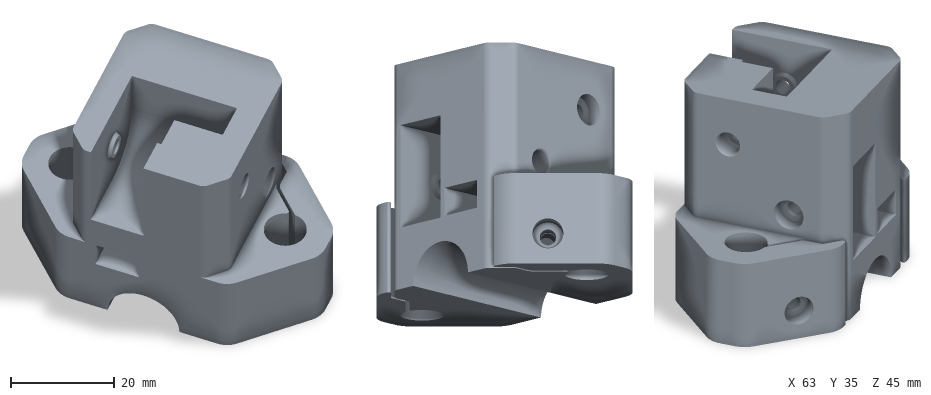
import cadquery as cq
import math

width = 63.0
depth = 35.0
height = 45.0
base_height = 18.0
front_y = -depth / 2
back_y = depth / 2

base_chamfer = 14.0
base_round = 5.0

block_width = 33.0
block_side = block_width / 2
block_chamfer = 4.0
block_round = 2.0

rod_x = 22.5
rod_diameter = 8.3
gap_width = 0.7
gap_bend_y = 9.5
gap_bend_round = 2.0
arm_tip_round = 0.5

clamp_screw_y = 11.6
clamp_screw_z = 6.0
clamp_screw_diameter = 3.15
clamp_bore_diameter = 6.0
clamp_bore_depth = 3.15
clamp_screw_depth = 16.0

screw_diameter = 3.1
head_diameter = 6.2
head_depth = 2.85
insert_mouth_diameter = 5.15
insert_diameter = 4.7
insert_lead_in = 0.3
insert_depth = 5.0

upper_radius = 10.0
lower_radius = 10.2
cavity_side = 10.95
upper_y = -6.4
upper_z = 35.15
lower_y = 6.4
lower_z = 22.5
boss_root_diameter = 5.5
boss_tip_diameter = 4.6
boss_height = 0.8
recess_depth = 0.9
recess_reach = 4.05

groove_radius = 7.5
window_width = 8.95
window_height = 5.55
window_x = -5.55


def box(x_min, x_max, y_min, y_max, z_min, z_max):
    """Box given by its limits along each axis."""
    size = (x_max - x_min, y_max - y_min, z_max - z_min)
    return cq.Workplane("XY").box(*size, centered=False).translate((x_min, y_min, z_min))


def chamfered_prism(prism_width, prism_height, chamfer, corner_round):
    """Upright prism of the full depth with rounded chamfers on its vertical edges."""
    prism = cq.Workplane("XY").rect(prism_width, depth).extrude(prism_height)
    return prism.edges("|Z").chamfer(chamfer).edges("|Z").fillet(corner_round)


def x_cylinder(x_min, x_max, y, z, diameter):
    """Cylinder along X."""
    plane = cq.Plane(origin=(x_min, y, z), xDir=(0, 1, 0), normal=(1, 0, 0))
    return cq.Workplane(plane).circle(diameter / 2).extrude(x_max - x_min)


def x_cone(x_start, y, z, start_diameter, length, end_diameter):
    """Truncated cone along X; a negative length points it toward -X."""
    direction = cq.Vector(math.copysign(1, length), 0, 0)
    cone = cq.Solid.makeCone(
        start_diameter / 2, end_diameter / 2, abs(length), cq.Vector(x_start, y, z), direction
    )
    return cq.Workplane(cone)


def vertical_edge_near(body, x, y):
    """Vertical edge of the base closest to a place in plan."""
    return body.edges("|Z").edges(cq.selectors.NearestToPointSelector((x, y, base_height / 2)))


def clamp_gap():
    """Gap on the +X side from the back face around the block into the rod hole.

    Also returns the plan positions of the two sharp edges it leaves: the arm tip and the hole lip.
    """
    diagonal_shift = gap_width * math.sqrt(2)
    beyond = 1.25
    hole_end_y = 3.15
    outer_x = block_side + gap_width
    corner_y = back_y - block_chamfer
    corner_x = block_side - block_chamfer
    inner_sum = block_side + gap_bend_y
    outer_sum = inner_sum + diagonal_shift
    tip_sum = block_side + corner_y + diagonal_shift
    outline = [
        (corner_x - block_chamfer, back_y),
        (corner_x, back_y),
        (block_side, corner_y),
        (block_side, gap_bend_y),
        (inner_sum - hole_end_y, hole_end_y),
        (outer_sum - hole_end_y, hole_end_y),
        (outer_x, outer_sum - outer_x),
        (outer_x, tip_sum - outer_x),
        (tip_sum - back_y, back_y),
        (tip_sum - back_y, back_y + beyond),
        (corner_x - block_chamfer, back_y + beyond),
    ]
    gap = cq.Workplane("XY").polyline(outline).close().extrude(base_height)
    gap = vertical_edge_near(gap, corner_x, back_y).fillet(block_round)
    gap = vertical_edge_near(gap, block_side, corner_y).fillet(block_round)
    gap = vertical_edge_near(gap, block_side, gap_bend_y).fillet(gap_bend_round + gap_width)
    gap = vertical_edge_near(gap, outer_x, outer_sum - outer_x).fillet(gap_bend_round)
    tip = (tip_sum - back_y, back_y)
    offset = (inner_sum - rod_x) / math.sqrt(2)
    run = math.sqrt((rod_diameter / 2) ** 2 - offset ** 2)
    lip = (rod_x + (offset - run) / math.sqrt(2), (offset + run) / math.sqrt(2))
    return gap, tip, lip


def clamp_screw():
    """Counterbored blind hole entering the rear diagonal face on the +X side."""
    face_x = width / 2 + back_y - base_chamfer - clamp_screw_y
    plane = cq.Plane(origin=(face_x, clamp_screw_y, clamp_screw_z), xDir=(0, 0, 1), normal=(-1, -1, 0))
    shank = cq.Workplane(plane).circle(clamp_screw_diameter / 2).extrude(clamp_screw_depth)
    bore = cq.Workplane(plane).circle(clamp_bore_diameter / 2).extrude(clamp_bore_depth)
    return shank.union(bore)


def base():
    """Base plate with rod holes, clamping arms and clamp screws on both sides."""
    body = chamfered_prism(width, base_height, base_chamfer, base_round)
    rods = cq.Workplane("XY").pushPoints([(rod_x, 0), (-rod_x, 0)])
    body = body.cut(rods.circle(rod_diameter / 2).extrude(base_height))
    gap, tip, lip = clamp_gap()
    body = body.cut(gap).cut(gap.mirror("YZ"))
    for side in (1, -1):
        for x, y in (tip, lip):
            body = vertical_edge_near(body, side * x, y).fillet(arm_tip_round)
    screw = clamp_screw()
    return body.cut(screw).cut(screw.mirror("YZ"))


def upper_cavity():
    """Pocket on the -X half, open to the front and the top, with a rounded rear floor."""
    rear_y = upper_y + upper_radius
    floor_z = upper_z - upper_radius
    cavity = x_cylinder(-cavity_side, 0, upper_y, upper_z, 2 * upper_radius)
    cavity = cavity.union(box(-cavity_side, 0, front_y, upper_y, floor_z, height))
    cavity = cavity.union(box(-cavity_side, 0, upper_y, rear_y, upper_z, height))
    recess = box(
        0, recess_depth,
        upper_y - recess_reach, lower_y - lower_radius,
        upper_z - recess_reach, height,
    )
    boss = x_cone(-cavity_side, upper_y, upper_z, boss_root_diameter, boss_height, boss_tip_diameter)
    return cavity.union(recess).cut(boss)


def lower_cavity():
    """Pocket on the +X half, open to the back, with a shaft up to the top face."""
    entry_y = lower_y - lower_radius
    cavity = x_cylinder(0, cavity_side, lower_y, lower_z, 2 * lower_radius)
    cavity = cavity.union(
        box(0, cavity_side, lower_y, back_y, lower_z - lower_radius, lower_z + lower_radius)
    )
    shaft = box(0, cavity_side, entry_y, upper_y + upper_radius, lower_z, height)
    boss = x_cone(cavity_side, lower_y, lower_z, boss_root_diameter, -boss_height, boss_tip_diameter)
    return cavity.union(shaft).cut(boss)


def cross_screw(y, z, head_side):
    """Through hole along X with a head bore on one side and an insert seat on the other."""
    hole = x_cylinder(-block_side, block_side, y, z, screw_diameter)
    head = x_cylinder(-block_side, head_depth - block_side, y, z, head_diameter)
    insert = x_cylinder(block_side - insert_depth, block_side, y, z, insert_diameter)
    lead_in = x_cone(block_side, y, z, insert_mouth_diameter, -insert_lead_in, insert_diameter)
    hole = hole.union(head).union(insert).union(lead_in)
    if head_side > 0:
        hole = hole.mirror("YZ")
    return hole


def base_openings():
    """Half-round groove and rectangular window running through along Y."""
    groove = cq.Workplane("XZ").circle(groove_radius).extrude(depth / 2, both=True)
    half_window = window_width / 2
    window = box(
        window_x - half_window, window_x + half_window,
        front_y, back_y,
        base_height - window_height, base_height,
    )
    return groove.union(window)


block = chamfered_prism(block_width, height, block_chamfer, block_round)
result = (
    base()
    .union(block)
    .cut(upper_cavity())
    .cut(lower_cavity())
    .cut(cross_screw(upper_y, upper_z, -1))
    .cut(cross_screw(lower_y, lower_z, 1))
    .cut(base_openings())
)